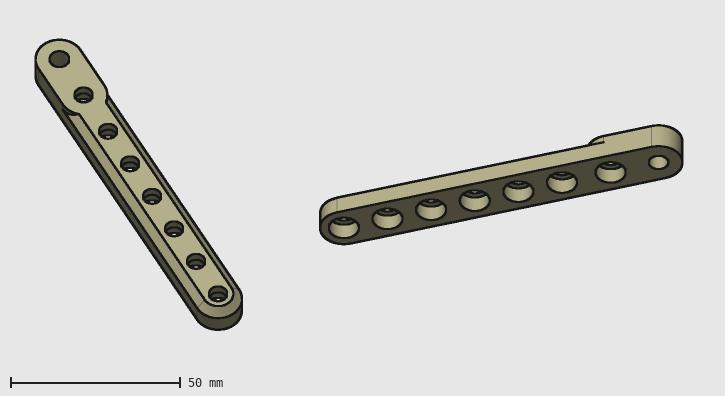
import cadquery as cq

length = 110.9
width = 14.1
thickness = 8.4
chamfer_size = 2.5
pivot_hole_diameter = 5.8
hole_diameter = 5.3
pad_hole_spacing = 14.7
counterbore_diameter = 8.9
counterbore_depth = 5.4
hole_pitch = 13.4
pitched_hole_count = 6

far_end_x = length - width


def rounded_bar(center_distance):
    """Full-thickness bar with round ends, its first end centred on the origin."""
    return (
        cq.Workplane("XY")
        .center(center_distance / 2, 0)
        .slot2D(center_distance + width, width)
        .extrude(thickness)
    )


def drill(body, x_positions, diameter, depth=thickness):
    """Cut round holes up from the underside along the bar's centreline."""
    points = [(x, 0) for x in x_positions]
    cutter = cq.Workplane("XY").pushPoints(points).circle(diameter / 2).extrude(depth)
    return body.cut(cutter)


bar = rounded_bar(far_end_x).faces(">Z").edges().chamfer(chamfer_size)

pad = rounded_bar(pad_hole_spacing)
body = bar.union(pad)

body = drill(body, [0], pivot_hole_diameter)

row_holes = [far_end_x - i * hole_pitch for i in range(pitched_hole_count)]
stepped_holes = [pad_hole_spacing] + row_holes
body = drill(body, stepped_holes, hole_diameter)
result = drill(body, stepped_holes, counterbore_diameter, counterbore_depth)